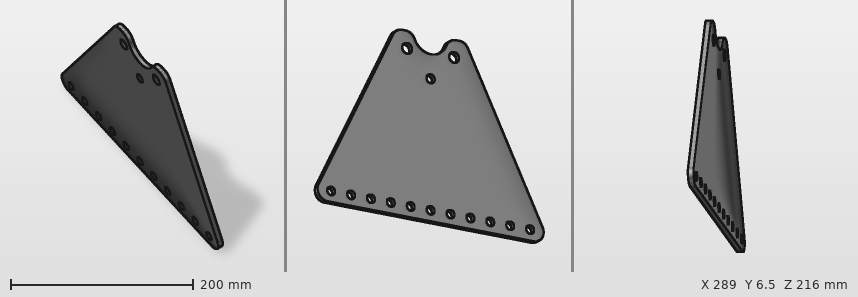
import cadquery as cq
import math

width = 289.0
height = 216.0
thickness = 6.5
corner_radius = 12.5
side_slope = 2.0

scoop_radius = 22.0
scoop_lip_radius = 13.0

row_count = 11
row_pitch = 25.5
row_height = 12.7
row_diameter = 9.8
upper_spacing = 60.0
upper_height = 195.5
upper_diameter = 12.5
middle_height = 165.4
middle_diameter = 10.5

base_angle = math.atan(side_slope)
base_half = width / 2 - corner_radius + corner_radius / math.tan(base_angle / 2)
top_half = base_half - height / side_slope


def extrude_profile(sketch):
    """Extrude an XZ profile to a slab centred on Y = 0."""
    return sketch.extrude(thickness / 2, both=True)


def cylinders(points, diameter):
    """Cylinders along Y through the plate at the given (x, z) points."""
    return extrude_profile(cq.Workplane("XZ").pushPoints(points).circle(diameter / 2))


def make_plate():
    """Trapezoid with four rounded corners and a scoop with rounded lips."""
    corners = [
        (-base_half, 0),
        (base_half, 0),
        (top_half, height),
        (-top_half, height),
    ]
    plate = extrude_profile(cq.Workplane("XZ").polyline(corners).close())
    plate = plate.edges("|Y").fillet(corner_radius)
    plate = plate.cut(cylinders([(0, height)], 2 * scoop_radius))
    for side in (-1, 1):
        lip = cq.selectors.NearestToPointSelector((side * scoop_radius, 0, height))
        plate = plate.edges("|Y").edges(lip).fillet(scoop_lip_radius)
    return plate


row_points = [((i - (row_count - 1) / 2) * row_pitch, row_height) for i in range(row_count)]
upper_points = [(side * upper_spacing / 2, upper_height) for side in (-1, 1)]

result = (
    make_plate()
    .cut(cylinders(row_points, row_diameter))
    .cut(cylinders(upper_points, upper_diameter))
    .cut(cylinders([(0, middle_height)], middle_diameter))
)